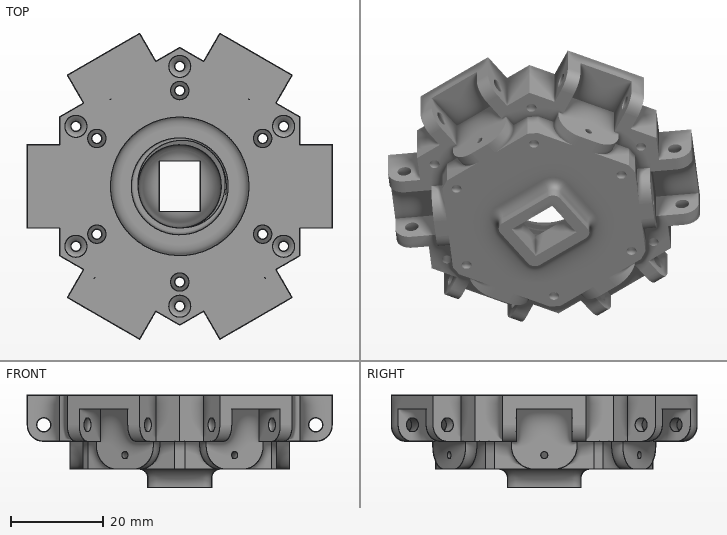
import cadquery as cq
import math

SIDES = 6
FULL_TURN = 360
SECTOR = FULL_TURN / SIDES
FIRST_CORNER = SECTOR / 2

PLATE_THICKNESS = 10.0
PLATE_FLATS = 52.0
OVERALL_Y = 66.2
ARM_WIDTH = 18.05
ARM_TIP_ANGLE = math.radians(FIRST_CORNER)
ARM_REACH = (OVERALL_Y - ARM_WIDTH * math.sin(ARM_TIP_ANGLE)) / (2 * math.cos(ARM_TIP_ANGLE))
ARM_ROUND = 3.5
SLOT_WIDTH = 12.1
SLOT_ROOF = 3.0
ARM_PIN_DIAMETER = 3.0
ARM_PIN_INSET = 3.6

HUB_BOTTOM = 16.0
HUB_FLATS = 41.9
HUB_CORNER_SPAN = 47.05
LUG_FACE = 23.75
LUG_WIDTH = 14.2
LUG_ROUND = 5.0
LUG_PIN_DIAMETER = 1.5
LUG_PIN_DROP = 3.0
LUG_PIN_DEPTH = 5.3

NECK_BOTTOM = 20.0
NECK_X = 13.9
NECK_Y = 15.95
NECK_ROUND = 1.85
NECK_WINDOW_X = 8.85
NECK_WINDOW_Y = 10.85

RECESS_DIAMETER = 30.0
RECESS_DEPTH = 3.1
LEAD_IN_DIAMETER = 21.0
LEAD_IN_BOTTOM = 4.75
BORE_DIAMETER = 18.0
BORE_BOTTOM = 13.0
BORE_ROUND = 1.05

THREAD_MAJOR_DIAMETER = 20.2
THREAD_PITCH = 2
THREAD_HALF_ANGLE = 30
THREAD_TURNS = 4
THREAD_ROOT_WIDTH = THREAD_PITCH / 8
THREAD_START_ANGLE = -45
THREAD_START_DEPTH = 11.25

SCREW_DIAMETER = 2.1
SINK_DIAMETER = 4.75
SINK_ANGLE = 90
SINK_RADIUS = 25.95
COUNTERBORE_DIAMETER = 4
COUNTERBORE_DEPTH = PLATE_THICKNESS
COUNTERBORE_RADIUS = 20.7


def hexagon(flats, top, bottom, flat_angle=0):
    """Hexagonal prism between two depths, with a flat facing the given angle."""
    return (
        cq.Workplane("XY", origin=(0, 0, -bottom))
        .polygon(SIDES, flats, circumscribed=True)
        .extrude(bottom - top)
        .rotate((0, 0, 0), (0, 0, 1), flat_angle)
    )


def box(size_x, size_y, top, bottom, start_x=None):
    """Box between two depths, centred on the axis or starting at start_x."""
    center_x = 0 if start_x is None else start_x + size_x / 2
    return cq.Workplane("XY", origin=(center_x, 0, -bottom)).rect(size_x, size_y).extrude(bottom - top)


def cylinder(diameter, top, bottom):
    """Vertical cylinder on the main axis between two depths."""
    return cq.Workplane("XY", origin=(0, 0, -bottom)).circle(diameter / 2).extrude(bottom - top)


def on_each_side(shape):
    """Copies of a shape built on the +X flat, one for every flat."""
    copies = cq.Workplane("XY")
    for side in range(SIDES):
        copies = copies.add(shape.rotate((0, 0, 0), (0, 0, 1), side * SECTOR))
    return copies.combine()


def make_arm():
    """Arm along +X with its lower outer edge rounded."""
    return box(ARM_REACH, ARM_WIDTH, 0, PLATE_THICKNESS, 0).edges(">X and <Z").fillet(ARM_ROUND)


def make_lug():
    """Lug along +X, rounded at both lower corners of its outer face."""
    lug = box(LUG_FACE, LUG_WIDTH, SLOT_ROOF, HUB_BOTTOM, 0)
    return lug.edges("|X and <Z").fillet(LUG_ROUND)


def make_arm_cuts():
    """Slot that splits the arm into two tines, the cross pin hole and the lug pin hole."""
    slot = box(ARM_REACH - LUG_FACE, SLOT_WIDTH, SLOT_ROOF, PLATE_THICKNESS, LUG_FACE)
    arm_pin = (
        cq.Workplane("XZ", origin=(ARM_REACH - ARM_PIN_INSET, 0, ARM_PIN_INSET - PLATE_THICKNESS))
        .circle(ARM_PIN_DIAMETER / 2)
        .extrude(ARM_WIDTH / 2, both=True)
    )
    lug_pin = (
        cq.Workplane("YZ", origin=(LUG_FACE, 0, -PLATE_THICKNESS - LUG_PIN_DROP))
        .circle(LUG_PIN_DIAMETER / 2)
        .extrude(-LUG_PIN_DEPTH)
    )
    return slot.union(arm_pin).union(lug_pin)


def make_hub():
    """Lower hexagon with its corners trimmed by a second, turned hexagon."""
    hub = hexagon(HUB_FLATS, 0, HUB_BOTTOM)
    return hub.intersect(hexagon(HUB_CORNER_SPAN, 0, HUB_BOTTOM, FIRST_CORNER))


def add_neck(body):
    """Rectangular neck with round corners and a fillet where it leaves the hub."""
    neck = box(NECK_X, NECK_Y, BORE_BOTTOM, NECK_BOTTOM).edges("|Z").fillet(NECK_ROUND)
    root_edges = cq.selectors.BoxSelector(
        (-NECK_Y, -NECK_Y, -HUB_BOTTOM - NECK_ROUND / 2),
        (NECK_Y, NECK_Y, -HUB_BOTTOM + NECK_ROUND / 2),
    )
    return body.union(neck).edges(root_edges).fillet(NECK_ROUND)


def make_bore():
    """Recess, lead-in, round-bottomed bore and the rectangular window through the neck."""
    bore = cylinder(BORE_DIAMETER, 0, BORE_BOTTOM).faces("<Z").edges().fillet(BORE_ROUND)
    recess = cylinder(RECESS_DIAMETER, 0, RECESS_DEPTH)
    lead_in = cylinder(LEAD_IN_DIAMETER, 0, LEAD_IN_BOTTOM)
    window = box(NECK_WINDOW_X, NECK_WINDOW_Y, 0, NECK_BOTTOM)
    return bore.union(recess).union(lead_in).union(window)


def make_thread():
    """Trapezoidal groove swept up a right-hand helix; it runs out into the lead-in."""
    inner = BORE_DIAMETER / 2 - THREAD_ROOT_WIDTH
    outer = THREAD_MAJOR_DIAMETER / 2
    half_root = THREAD_ROOT_WIDTH / 2
    half_mouth = half_root + (outer - inner) * math.tan(math.radians(THREAD_HALF_ANGLE))
    helix = cq.Wire.makeHelix(THREAD_PITCH, THREAD_PITCH * THREAD_TURNS, BORE_DIAMETER / 2)
    groove = (
        cq.Workplane("XZ")
        .polyline([(inner, -half_mouth), (outer, -half_root), (outer, half_root), (inner, half_mouth)])
        .close()
        .sweep(cq.Workplane(obj=helix), isFrenet=True)
    )
    return groove.rotate((0, 0, 0), (0, 0, 1), THREAD_START_ANGLE).translate((0, 0, -THREAD_START_DEPTH))


def toward_corners(body, radius):
    """Hole positions on the top face, one toward each hexagon corner."""
    top = body.faces(">Z").workplane(origin=(0, 0, 0))
    return top.polarArray(radius, FIRST_CORNER, FULL_TURN, SIDES)


def drill_screw_holes(body):
    """Countersunk outer ring and counterbored inner ring of through holes."""
    body = toward_corners(body, SINK_RADIUS).cskHole(SCREW_DIAMETER, SINK_DIAMETER, SINK_ANGLE)
    return toward_corners(body, COUNTERBORE_RADIUS).cboreHole(
        SCREW_DIAMETER, COUNTERBORE_DIAMETER, COUNTERBORE_DEPTH
    )


def make_part():
    """Star plate over the lugged hub and neck, with every bore and hole cut last."""
    plate = hexagon(PLATE_FLATS, 0, PLATE_THICKNESS)
    body = add_neck(make_hub())
    body = body.union(on_each_side(make_lug())).union(plate).union(on_each_side(make_arm()))
    body = body.cut(on_each_side(make_arm_cuts()))
    body = body.cut(make_bore()).cut(make_thread())
    return drill_screw_holes(body)


result = make_part()